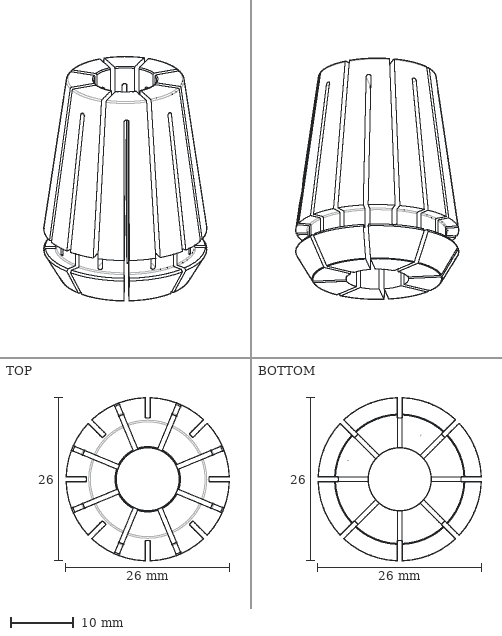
import cadquery as cq
import math

height = 34.0
max_radius = 13.0
bore_radius = 5.0

taper_angle = 8.0
taper_bottom = 8.15
taper_top_radius = max_radius - (height - taper_bottom) * math.tan(math.radians(taper_angle))
top_edge_round = 0.27
bore_chamfer = 0.2

groove_radius = 11.0
groove_bottom = 5.0
groove_corner_round = 0.2

nose_angle = 30.0
rim_height = 4.62
rim_bevel = 0.27
nose_bottom_radius = max_radius - rim_height * math.tan(math.radians(nose_angle))
bottom_edge_chamfer = 0.1

slots_per_end = 8
slot_width = 0.78
bottom_slot_end = 31.08
top_slot_end = 5.45
slot_pitch = 360.0 / slots_per_end


def make_body():
    """Revolve the half section of the collet, bore included, about Z."""
    r = groove_corner_round
    diagonal = r * math.sqrt(0.5)
    lower_arc = (groove_radius + r - diagonal, groove_bottom + r - diagonal)
    upper_arc = (groove_radius + r - diagonal, taper_bottom - r + diagonal)
    return (
        cq.Workplane("XZ")
        .moveTo(bore_radius, 0)
        .lineTo(nose_bottom_radius, 0)
        .lineTo(max_radius, rim_height)
        .lineTo(max_radius - rim_bevel, groove_bottom)
        .lineTo(groove_radius + r, groove_bottom)
        .threePointArc(lower_arc, (groove_radius, groove_bottom + r))
        .lineTo(groove_radius, taper_bottom - r)
        .threePointArc(upper_arc, (groove_radius + r, taper_bottom))
        .lineTo(max_radius, taper_bottom)
        .lineTo(taper_top_radius, height)
        .lineTo(bore_radius + bore_chamfer, height)
        .lineTo(bore_radius, height - bore_chamfer)
        .close()
        .revolve(360, (0, 0, 0), (0, 1, 0))
    )


def soften_end_edges(body):
    """Round the outer edge of the top face and chamfer that of the bottom face."""
    outer_edge = cq.selectors.RadiusNthSelector(-1)
    rounded = body.faces(">Z").edges(outer_edge).fillet(top_edge_round)
    return rounded.faces("<Z").edges(outer_edge).chamfer(bottom_edge_chamfer)


def make_slot(open_z, end_z, angle):
    """Radial cutter from the axis outwards, with a round end at end_z."""
    half_width = slot_width / 2
    direction = math.copysign(1, end_z - open_z)
    arc_start_z = end_z - direction * half_width
    return (
        cq.Workplane("YZ")
        .moveTo(-half_width, open_z)
        .lineTo(-half_width, arc_start_z)
        .threePointArc((0, end_z), (half_width, arc_start_z))
        .lineTo(half_width, open_z)
        .close()
        .extrude(max_radius + slot_width)
        .rotate((0, 0, 0), (0, 0, 1), angle)
    )


result = soften_end_edges(make_body())
for index in range(slots_per_end):
    bottom_slot_angle = index * slot_pitch
    top_slot_angle = bottom_slot_angle + slot_pitch / 2
    result = result.cut(make_slot(0, bottom_slot_end, bottom_slot_angle))
    result = result.cut(make_slot(height, top_slot_end, top_slot_angle))